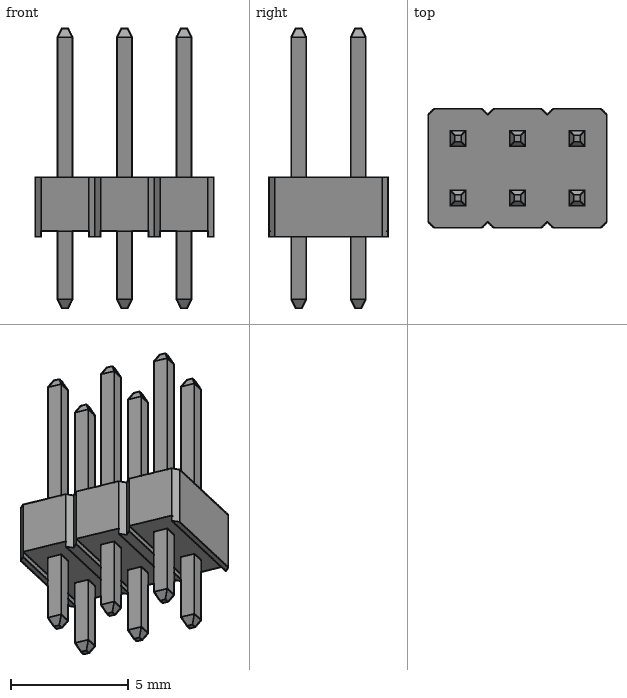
import cadquery as cq

columns = 3
rows = 2
body_length = 7.62
pin_width = 0.65
pin_length = 11.94
tip_height = 0.38
tip_width = 0.26
body_height = 2.54
body_bottom = 3.05
corner_cut = 0.25
recess_depth = 0.25

pitch = body_length / columns
body_width = rows * pitch


def housing_cell(x):
    """One column of the housing: a chamfered block with a channel along Y below."""
    block = (
        cq.Workplane("XY")
        .box(pitch, body_width, body_height, centered=(True, True, False))
        .edges("|Z")
        .chamfer(corner_cut)
    )
    channel = cq.Workplane("XY").box(
        pitch - 2 * corner_cut, body_width, recess_depth, centered=(True, True, False)
    )
    return block.cut(channel).translate((x, 0, body_bottom))


def pin_tip():
    """Tapered pin end, widest at Z = 0 and pointing up."""
    return (
        cq.Workplane("XY")
        .rect(pin_width, pin_width)
        .workplane(offset=tip_height)
        .rect(tip_width, tip_width)
        .loft(ruled=True)
    )


def pin(x, y):
    """Square pin with a tapered tip at both ends."""
    shank_length = pin_length - 2 * tip_height
    shank = cq.Workplane("XY").box(pin_width, pin_width, shank_length, centered=(True, True, False))
    upper_tip = pin_tip().translate((0, 0, shank_length))
    lower_tip = pin_tip().mirror("XY")
    return shank.union(upper_tip).union(lower_tip).translate((x, y, tip_height))


column_positions = [(i + 0.5) * pitch - body_length / 2 for i in range(columns)]
row_positions = [(j + 0.5) * pitch - body_width / 2 for j in range(rows)]

result = housing_cell(column_positions[0])
for x in column_positions[1:]:
    result = result.union(housing_cell(x))

for x in column_positions:
    for y in row_positions:
        result = result.union(pin(x, y))